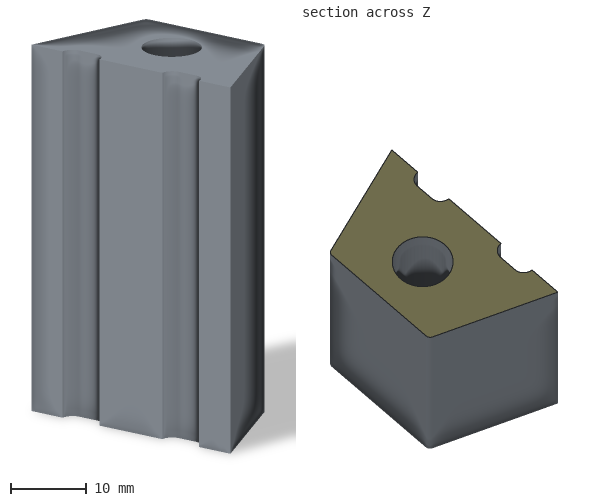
import cadquery as cq
import math

base_width = 31.76
depth = 17.48
height = 50.8
side_angle = 70.0
top_corner_radius = 0.762

hole_diameter = 7.95
hole_center_y = 9.525

groove_width = 5.86
groove_depth = 1.5875
groove_offset = 7.94

side_inset = depth / math.tan(math.radians(side_angle))
half_base = base_width / 2
half_top = half_base - side_inset


def make_block():
    """Trapezoidal prism with its two narrow-side edges rounded."""
    outline = [
        (-half_base, 0),
        (half_base, 0),
        (half_top, depth),
        (-half_top, depth),
    ]
    prism = cq.Workplane("XY").polyline(outline).close().extrude(height)
    return prism.faces(">Y").edges("|Z").fillet(top_corner_radius)


def make_hole():
    """Cylinder that cuts the through hole."""
    return cq.Workplane("XY").center(0, hole_center_y).circle(hole_diameter / 2).extrude(height)


def make_groove(center_x):
    """Full-height groove whose bottom corners are quarter rounds of the groove's depth."""
    half_width = groove_width / 2
    half_floor = half_width - groove_depth
    return (
        cq.Workplane("XY")
        .center(center_x, 0)
        .moveTo(-half_width, 0)
        .radiusArc((-half_floor, groove_depth), groove_depth)
        .lineTo(half_floor, groove_depth)
        .radiusArc((half_width, 0), groove_depth)
        .close()
        .extrude(height)
    )


result = make_block().cut(make_hole())
for side in (-1, 1):
    result = result.cut(make_groove(side * groove_offset))